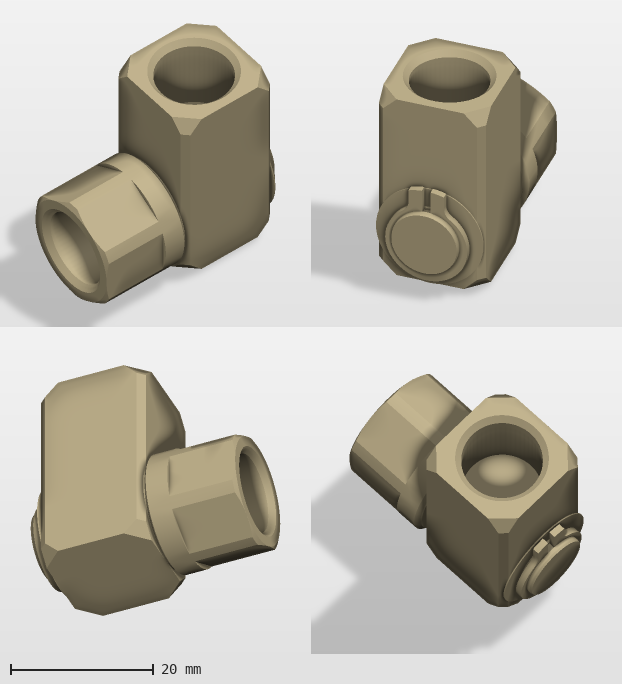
import cadquery as cq
import math

block_width = 16.0
half_width = block_width / 2
block_top = 22.0
block_height = 30.0
edge_chamfer = 1.0
corner_cut = 3.0

washer_thickness = 0.2

nut_diameter = 17.5
nut_radius = nut_diameter / 2
nut_front = -22.0
flange_front = -12.0
front_chamfer = 0.42
flange_chamfer = 0.5

bore_diameter = 11.45
bore_depth = 12.0
mouth_chamfer = 0.85

stem_radius = 10.0 / 2
stem_end = 10.5
stem_chamfer_length = 0.32
stem_chamfer_inset = 0.13
groove_radius = 9.3 / 2
ring_front = 8.58
ring_rear = 9.6
ring_radius = 6.1
ring_center_z = -0.55
lug_top_radius = 8.5
lug_outer_x = 2.63
lug_inner_x = 0.65
lug_fillet = 2.0


def cylinder_along_y(radius, y_start, y_end):
    return cq.Workplane("XZ", origin=(0, y_start, 0)).circle(radius).extrude(y_start - y_end)


def revolve_about_y(points):
    """Revolve a closed (radius, y) outline about the Y axis."""
    return cq.Workplane("XY").polyline(points).close().revolve(360, (0, 0, 0), (0, 1, 0))


def corner_wedge(side_x, side_y, side_z, corner_z):
    """Tetrahedron removed from one corner of the block."""
    corner = cq.Vector(side_x * half_width, side_y * half_width, corner_z)
    tips = [
        corner - cq.Vector(side_x * corner_cut, 0, 0),
        corner - cq.Vector(0, side_y * corner_cut, 0),
        corner - cq.Vector(0, 0, side_z * corner_cut),
    ]
    triangles = [tips, [corner, tips[0], tips[1]], [corner, tips[1], tips[2]], [corner, tips[2], tips[0]]]
    faces = [cq.Face.makeFromWires(cq.Wire.makePolygon(t, close=True)) for t in triangles]
    return cq.Workplane(obj=cq.Solid.makeSolid(cq.Shell.makeShell(faces)))


def make_block():
    bottom = block_top - block_height
    block = cq.Workplane("XY", origin=(0, 0, bottom)).rect(block_width, block_width).extrude(block_height)
    block = block.edges("|Z").chamfer(edge_chamfer)
    for side_x in (-1, 1):
        for side_y in (-1, 1):
            block = block.cut(corner_wedge(side_x, side_y, 1, block_top))
            block = block.cut(corner_wedge(side_x, side_y, -1, bottom))
    return block


def make_nut():
    washer_front = -half_width - washer_thickness
    blank = revolve_about_y([
        (0, -half_width),
        (half_width, -half_width),
        (half_width, washer_front),
        (nut_radius, washer_front - flange_chamfer),
        (nut_radius, nut_front + front_chamfer),
        (half_width, nut_front),
        (0, nut_front),
    ])
    hexagon = (
        cq.Workplane("XZ", origin=(0, flange_front, 0))
        .polygon(6, block_width, circumscribed=True)
        .extrude(flange_front - nut_front)
    )
    flange_zone = cylinder_along_y(block_width, -half_width, flange_front)
    return blank.intersect(flange_zone.union(hexagon))


def make_stem():
    washer_rear = half_width + washer_thickness
    return revolve_about_y([
        (0, half_width),
        (half_width, half_width),
        (half_width, washer_rear),
        (stem_radius, washer_rear),
        (stem_radius, ring_front),
        (groove_radius, ring_front),
        (groove_radius, ring_rear),
        (stem_radius, ring_rear),
        (stem_radius, stem_end - stem_chamfer_length),
        (stem_radius - stem_chamfer_inset, stem_end),
        (0, stem_end),
    ])


def make_retaining_ring():
    """Eccentric open ring with two lugs, blended into it by concave fillets."""
    fillet_x = lug_outer_x + lug_fillet
    fillet_z = ring_center_z + math.sqrt((ring_radius + lug_fillet) ** 2 - fillet_x ** 2)
    share = ring_radius / (ring_radius + lug_fillet)
    tangent_x = share * fillet_x
    tangent_z = ring_center_z + share * (fillet_z - ring_center_z)
    fillet_angle = (math.pi + math.atan2(tangent_z - fillet_z, tangent_x - fillet_x) % (2 * math.pi)) / 2
    middle_x = fillet_x + lug_fillet * math.cos(fillet_angle)
    middle_z = fillet_z + lug_fillet * math.sin(fillet_angle)
    lug_corner_z = math.sqrt(lug_top_radius ** 2 - lug_outer_x ** 2)

    thickness = ring_rear - ring_front
    plate = (
        cq.Workplane("XZ", origin=(0, ring_rear, 0))
        .moveTo(-lug_outer_x, lug_corner_z)
        .threePointArc((0, lug_top_radius), (lug_outer_x, lug_corner_z))
        .lineTo(lug_outer_x, fillet_z)
        .threePointArc((middle_x, middle_z), (tangent_x, tangent_z))
        .threePointArc((0, ring_center_z - ring_radius), (-tangent_x, tangent_z))
        .threePointArc((-middle_x, middle_z), (-lug_outer_x, fillet_z))
        .close()
        .extrude(thickness)
    )
    gap = (
        cq.Workplane("XZ", origin=(0, ring_rear, lug_top_radius / 2))
        .rect(2 * lug_inner_x, lug_top_radius)
        .extrude(thickness)
    )
    return plate.cut(gap).cut(cylinder_along_y(groove_radius, ring_rear, ring_front))


def port_cutter(mouth):
    """Blind bore with a countersunk mouth, cut inward from a workplane facing out of the port."""
    bore = mouth.circle(bore_diameter / 2).extrude(-bore_depth)
    countersink = mouth.circle(bore_diameter / 2 + mouth_chamfer).extrude(-mouth_chamfer, taper=45)
    return bore.union(countersink)


body = make_block().union(make_nut()).union(make_stem()).union(make_retaining_ring())
top_port = port_cutter(cq.Workplane("XY", origin=(0, 0, block_top)))
nut_port = port_cutter(cq.Workplane("XZ", origin=(0, nut_front, 0)))
result = body.cut(top_port).cut(nut_port)